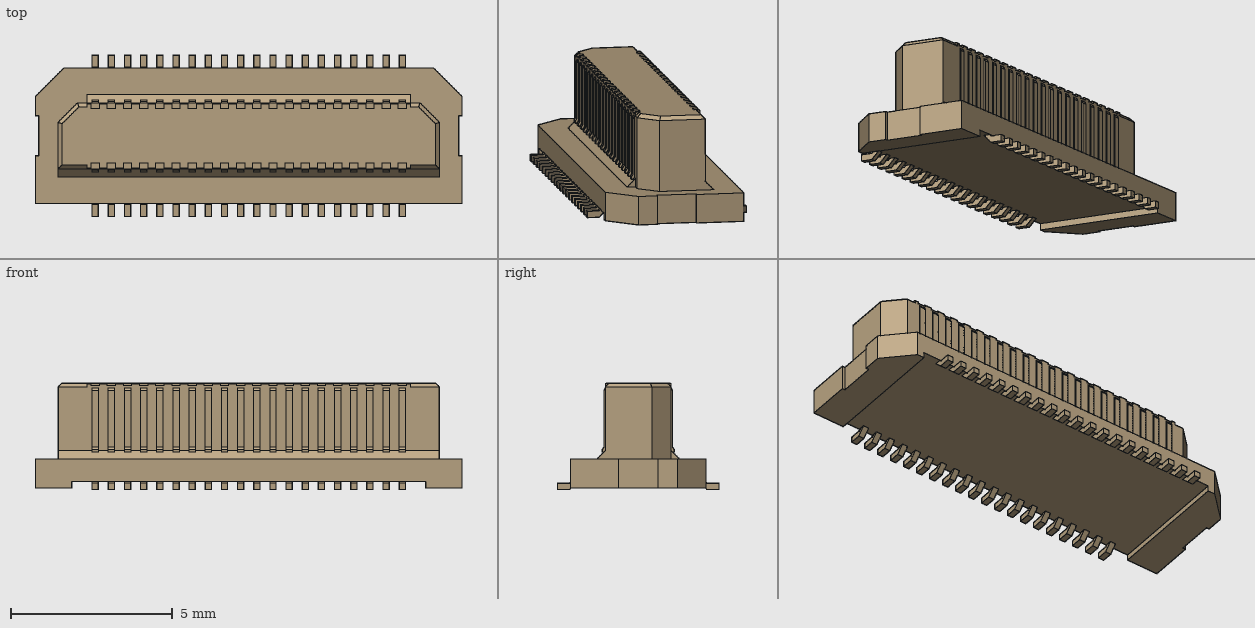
import cadquery as cq

base_length = 13.2
base_width = 4.2
base_bottom = 0.05
base_top = 0.95
base_corner_chamfer = 0.88
end_notch_width = 1.23
end_notch_depth = 0.1
foot_length = 1.13
relief_top = 0.25

wall_length = 11.8
wall_width = 2.04
wall_top = 3.3
wall_corner_chamfer = 0.6
wall_top_chamfer = 0.12
contact_zone_length = 10.0
zone_edge_chamfer = 0.03

rib_size = 0.26

contact_count = 20
contact_pitch = 0.5
contact_width = 0.2
contact_proud = 0.04
contact_top = 3.15
contact_bevel_height = 0.08
contact_toe_proud = 0.095
contact_toe_bottom = 1.16
contact_toe_top = 1.24
contact_toe_slope_top = 1.32
contact_embed = 0.1

pocket_width = 0.26
pocket_floor = 3.22
pocket_depth = 0.175

tail_span = 5.0
tail_thickness = 0.2
tail_bend_offset = 0.03
tail_embed = 0.1

half_wall = wall_width / 2
contact_positions = [
    (index - (contact_count - 1) / 2) * contact_pitch for index in range(contact_count)
]
sides = (-1, 1)


def box(x_size, y_range, z_range, x_center=0.0):
    """Box centred on x_center that spans the given Y and Z ranges."""
    y_low, y_high = sorted(y_range)
    z_low, z_high = z_range
    return (
        cq.Workplane("XY")
        .box(x_size, y_high - y_low, z_high - z_low, centered=(True, False, False))
        .translate((x_center, y_low, z_low))
    )


def side_profile(points, x_size, x_center=0.0):
    """Prism along X, centred on x_center, from a closed outline of (y, z) points."""
    return (
        cq.Workplane("YZ")
        .polyline(points)
        .close()
        .extrude(x_size / 2, both=True)
        .translate((x_center, 0, 0))
    )


def block_with_cut_back_corners(length, width, bottom, top, corner):
    """Upright block whose two +Y corners are chamfered."""
    block = box(length, (-width / 2, width / 2), (bottom, top))
    return block.edges("|Z and >Y").chamfer(corner)


def make_base():
    base = block_with_cut_back_corners(
        base_length, base_width, base_bottom, base_top, base_corner_chamfer
    )
    relief = box(
        base_length - 2 * foot_length,
        (-base_width / 2, base_width / 2),
        (base_bottom, relief_top),
    )
    base = base.cut(relief)
    for side in sides:
        notch = box(
            2 * end_notch_depth,
            (-end_notch_width / 2, end_notch_width / 2),
            (base_bottom, base_top),
            side * base_length / 2,
        )
        base = base.cut(notch)
    return base


def make_wall():
    wall = block_with_cut_back_corners(
        wall_length, wall_width, base_top, wall_top, wall_corner_chamfer
    )
    wall = wall.faces(">Z").edges().chamfer(wall_top_chamfer)
    zone = box(contact_zone_length, (-half_wall, half_wall), (base_top, wall_top))
    zone = zone.faces(">Z").edges("|X").chamfer(zone_edge_chamfer)
    return wall.union(zone)


def make_rib(side, length):
    foot = side * half_wall
    return side_profile(
        [
            (0, base_top),
            (foot + side * rib_size, base_top),
            (foot, base_top + rib_size),
            (0, base_top + rib_size),
        ],
        length,
    )


def make_pocket(side, x_center):
    y_range = (side * (half_wall - pocket_depth), side * (half_wall + pocket_depth))
    return box(pocket_width, y_range, (pocket_floor, wall_top), x_center)


def make_contact(side, x_center):
    inner = side * (half_wall - contact_embed)
    surface = side * half_wall
    face = side * (half_wall + contact_proud)
    toe = side * (half_wall + contact_toe_proud)
    return side_profile(
        [
            (inner, contact_toe_bottom),
            (toe, contact_toe_bottom),
            (toe, contact_toe_top),
            (face, contact_toe_slope_top),
            (face, contact_top - contact_bevel_height),
            (surface, contact_top),
            (inner, contact_top),
        ],
        contact_width,
        x_center,
    )


def make_tail(side, x_center):
    """Solder tail that lies flat outside the base and ramps up at 45 degrees into its underside."""
    tip = tail_span / 2
    bend = base_width / 2 + tail_bend_offset
    ramp_top = relief_top + tail_embed
    return side_profile(
        [
            (side * tip, 0),
            (side * bend, 0),
            (side * (bend - ramp_top), ramp_top),
            (side * (bend - ramp_top + tail_thickness), ramp_top),
            (side * bend, tail_thickness),
            (side * tip, tail_thickness),
        ],
        contact_width,
        x_center,
    )


def build():
    places = [(side, x_center) for side in sides for x_center in contact_positions]
    pockets = [make_pocket(*place).val() for place in places]
    contacts = [make_contact(*place).val() for place in places]
    tails = [make_tail(*place).val() for place in places]

    housing = make_base().union(make_wall())
    housing = housing.union(make_rib(-1, wall_length))
    housing = housing.union(make_rib(1, contact_zone_length))
    body = housing.val().cut(*pockets).fuse(*contacts, *tails)
    return cq.Workplane("XY").newObject(body.Solids())


result = build()